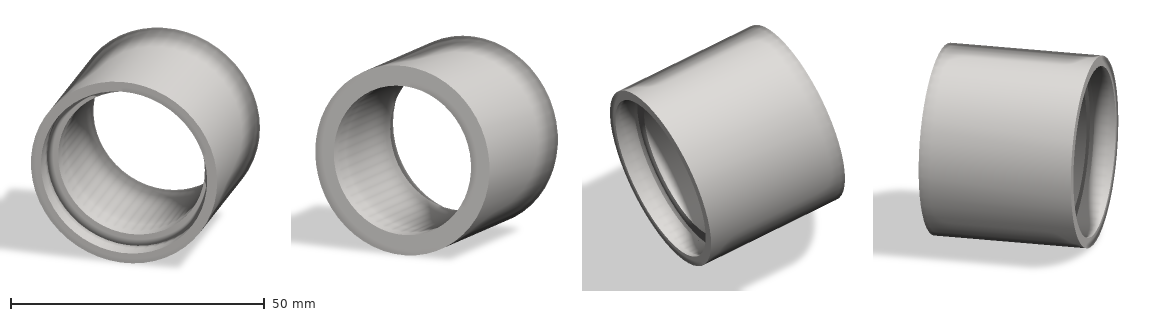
import cadquery as cq

outer_diameter = 38.1
length = 30.9
bore_diameter = 30.0

counterbore_diameter = 34.0
counterbore_depth = 5.4
groove_diameter = 35.2
groove_width = 1.0

front_y = -length / 2


def cylinder_along_y(diameter, start_depth, end_depth):
    """Solid cylinder between two depths measured from the front face."""
    start_plane = cq.Workplane("XZ", origin=(0, front_y + start_depth, 0))
    return start_plane.circle(diameter / 2).extrude(start_depth - end_depth)


sleeve = cylinder_along_y(outer_diameter, 0, length)
bore = cylinder_along_y(bore_diameter, 0, length)
counterbore = cylinder_along_y(counterbore_diameter, 0, counterbore_depth)
groove = cylinder_along_y(groove_diameter, counterbore_depth - groove_width, counterbore_depth)

result = sleeve.cut(bore).cut(counterbore).cut(groove)